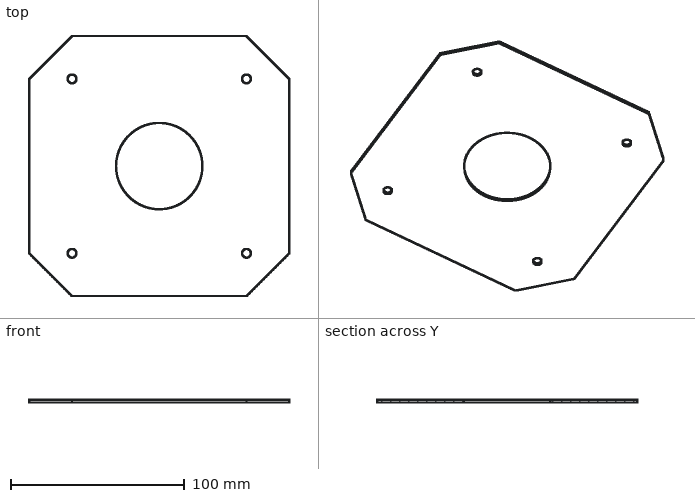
import cadquery as cq

side = 149.9
thickness = 1.6
corner_cut = 24.7
bore_diameter = 49.6
mount_hole_diameter = 5.0

mount_hole_spacing = side - 2 * corner_cut

plate = cq.Workplane("XY").box(side, side, thickness).edges("|Z").chamfer(corner_cut)

plate = plate.faces(">Z").workplane().hole(bore_diameter)

result = (
    plate.faces(">Z")
    .workplane()
    .rect(mount_hole_spacing, mount_hole_spacing, forConstruction=True)
    .vertices()
    .hole(mount_hole_diameter)
)